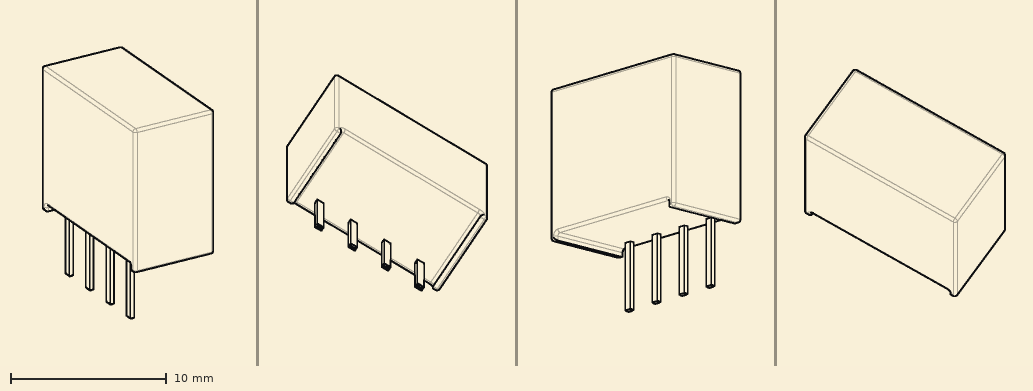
import cadquery as cq

BODY_LENGTH = 11.6
BODY_DEPTH = 6.01
BODY_HEIGHT = 10.16
EDGE_RADIUS = 0.2

FOOT_WIDTH = 0.5
RELIEF_HEIGHT = 0.5
RELIEF_CORNER_RADIUS = 0.2

PIN_COUNT = 4
PIN_PITCH = 2.54
PIN_WIDTH = 0.5
PIN_THICKNESS = 0.3
PIN_LENGTH = 4.1
PIN_FRONT_OFFSET = 0.9
PIN_EMBED = 0.5
PIN_TIP_CHAMFER = 0.1


def make_housing():
    """Block with an underside relief running front to back and rounded outer edges."""
    relief_length = BODY_LENGTH - 2 * FOOT_WIDTH
    block = cq.Workplane("XY").box(BODY_LENGTH, BODY_DEPTH, BODY_HEIGHT, centered=(True, True, False))
    relief = cq.Workplane("XY").box(relief_length, BODY_DEPTH, RELIEF_HEIGHT, centered=(True, True, False))
    relief = relief.edges("|Y and >Z").fillet(RELIEF_CORNER_RADIUS)
    housing = block.cut(relief)

    return housing.edges("(<Y or >Y) or (<X or >X) or >Z").fillet(EDGE_RADIUS)


def make_pin(x_centre):
    """Flat pin with a chamfered tip, reaching up into the housing."""
    y_centre = PIN_FRONT_OFFSET - BODY_DEPTH / 2
    pin_height = PIN_LENGTH + RELIEF_HEIGHT + PIN_EMBED
    pin = cq.Workplane("XY").box(PIN_WIDTH, PIN_THICKNESS, pin_height, centered=(True, True, False))
    pin = pin.faces("<Z").edges().chamfer(PIN_TIP_CHAMFER)
    return pin.translate((x_centre, y_centre, -PIN_LENGTH))


result = make_housing()
for pin_index in range(PIN_COUNT):
    pin_x = (pin_index - (PIN_COUNT - 1) / 2) * PIN_PITCH
    result = result.union(make_pin(pin_x))